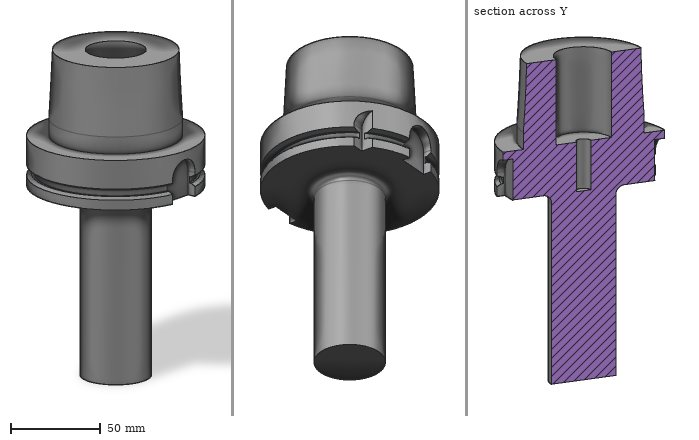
import cadquery as cq
import math


nose_height = 50.0
nose_tip_radius = 35.5
nose_base_radius = 37.5
nose_collar_height = 10.0

flange_radius = 50.0
flange_height = 29.0
groove_floor_radius = 46.0
groove_chamfer_radius = 47.4
groove_center = -20.0
groove_floor_width = 3.75
groove_mouth_width = 6.5

overall_height = 190.0
shank_radius = 20.0
shank_fillet = 5.0

bore_radius = 17.0
bore_depth = nose_height
pilot_radius = 4.25
pilot_depth = flange_height

cutout_radius = 10.0
cutout_top_depth = 5.0
drive_slot_floor = 44.0
corner_notch_offset = 31.5

flange_bottom = -flange_height
shank_bottom = nose_height - overall_height


def turned_body():
    """Nose, grooved flange and filleted shank as one revolved profile."""
    groove_top = groove_center + groove_floor_width / 2
    groove_bottom = groove_center - groove_floor_width / 2
    fillet_offset = shank_fillet * (1 - math.sqrt(0.5))
    profile = (
        cq.Workplane("YZ")
        .moveTo(0, nose_height)
        .lineTo(nose_tip_radius, nose_height)
        .lineTo(nose_base_radius, nose_collar_height)
        .lineTo(nose_base_radius, 0)
        .lineTo(flange_radius, 0)
        .lineTo(flange_radius, groove_center + groove_mouth_width / 2)
        .lineTo(groove_chamfer_radius, groove_top)
        .lineTo(groove_floor_radius, groove_top)
        .lineTo(groove_floor_radius, groove_bottom)
        .lineTo(groove_chamfer_radius, groove_bottom)
        .lineTo(flange_radius, groove_center - groove_mouth_width / 2)
        .lineTo(flange_radius, flange_bottom)
        .lineTo(shank_radius + shank_fillet, flange_bottom)
        .threePointArc(
            (shank_radius + fillet_offset, flange_bottom - fillet_offset),
            (shank_radius, flange_bottom - shank_fillet),
        )
        .lineTo(shank_radius, shank_bottom)
        .lineTo(0, shank_bottom)
        .close()
    )
    return profile.revolve(360, (0, 0, 0), (0, 1, 0))


def stepped_bore():
    """Bore from the nose tip plus the smaller hole in its floor."""
    bore = cq.Workplane("XY", origin=(0, 0, nose_height)).circle(bore_radius).extrude(-bore_depth)
    bore_floor = nose_height - bore_depth
    pilot = cq.Workplane("XY", origin=(0, 0, bore_floor)).circle(pilot_radius).extrude(-pilot_depth)
    return bore.union(pilot)


def rim_cutout(floor_distance, sideways):
    """Round-topped cutter along +Y, starting at floor_distance and centered at X = sideways."""
    arc_center = -cutout_top_depth - cutout_radius
    return (
        cq.Workplane("XZ", origin=(sideways, floor_distance, 0))
        .moveTo(-cutout_radius, flange_bottom)
        .lineTo(-cutout_radius, arc_center)
        .threePointArc((0, -cutout_top_depth), (cutout_radius, arc_center))
        .lineTo(cutout_radius, flange_bottom)
        .close()
        .extrude(-flange_radius)
    )


result = turned_body().cut(stepped_bore())

for slot_angle in (90, -90):
    drive_slot = rim_cutout(drive_slot_floor, 0)
    result = result.cut(drive_slot.rotate((0, 0, 0), (0, 0, 1), slot_angle))

notch_center = -corner_notch_offset - cutout_radius
result = result.cut(rim_cutout(corner_notch_offset, notch_center))